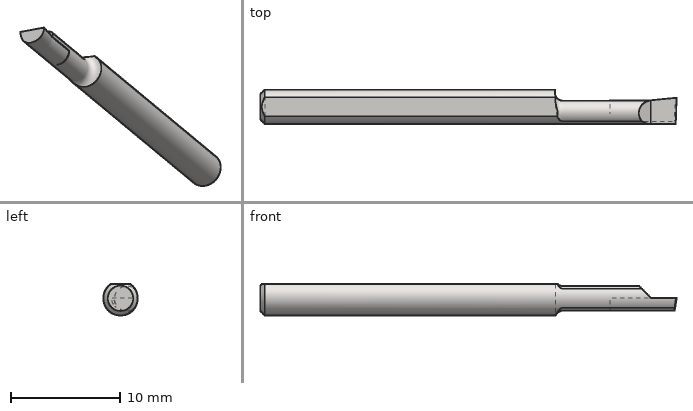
import cadquery as cq
import math

total_length = 38.1
shank_diameter = 3.15
shank_height = 2.9
back_chamfer = 0.42
shoulder_x = 26.97
shoulder_fillet = 0.7
neck_radius = 1.15
neck_offset = 0.57
rake_start_x = 35.75
rake_z = 0.05
ramp_angle = 45.0
ledge_start_x = 31.95
ledge_overhang = 0.05
tip_overhang = 0.25
end_relief_angle = 8.0
end_clearance_angle = 2.0

shank_radius = shank_diameter / 2
flat_z = shank_height - shank_radius
neck_start_x = shoulder_x + shoulder_fillet
corner_y = neck_radius - neck_offset + tip_overhang
margin = 0.75
stock_length = total_length + margin


def box_between(low, high):
    """Axis-aligned box from its low corner to its high corner."""
    size = [b - a for a, b in zip(low, high)]
    return cq.Workplane("XY").box(*size, centered=False).translate(low)


def make_envelope():
    """Round bar with a chamfered back end and a flat along its top."""
    bar = cq.Workplane("YZ").circle(shank_radius).extrude(stock_length)
    bar = bar.faces("<X").chamfer(back_chamfer)
    above_flat = box_between(
        (-margin, -shank_diameter, flat_z),
        (stock_length + margin, shank_diameter, shank_diameter),
    )
    return bar.cut(above_flat)


def make_neck_envelope():
    """Revolved neck, flaring through the shoulder fillet to clear the shank."""
    outer_radius = shank_diameter
    fillet_top = neck_radius + shoulder_fillet
    arc_inset = shoulder_fillet * (1 - math.sqrt(0.5))
    profile = (
        cq.Workplane("XY")
        .moveTo(-margin, 0)
        .lineTo(-margin, outer_radius)
        .lineTo(shoulder_x, outer_radius)
        .lineTo(shoulder_x, fillet_top)
        .threePointArc(
            (shoulder_x + arc_inset, neck_radius + arc_inset),
            (neck_start_x, neck_radius),
        )
        .lineTo(stock_length, neck_radius)
        .lineTo(stock_length, 0)
        .close()
    )
    neck = profile.revolve(360, (0, 0, 0), (1, 0, 0))
    return neck.translate((0, -neck_offset, 0))


def make_tooth():
    """Lower +Y side of the tip: a narrow ledge, then a flare to the cutting corner."""
    ledge_radius = neck_radius + ledge_overhang
    ledge = (
        cq.Workplane("YZ", origin=(ledge_start_x, -neck_offset, 0))
        .ellipse(ledge_radius, neck_radius)
        .extrude(rake_start_x - ledge_start_x)
    )
    flare = (
        cq.Workplane("YZ", origin=(rake_start_x, -neck_offset, 0))
        .ellipse(ledge_radius, neck_radius)
        .workplane(offset=total_length - rake_start_x)
        .ellipse(neck_radius + tip_overhang, neck_radius)
        .loft()
    )
    lower_positive_side = box_between(
        (ledge_start_x, -neck_offset, -shank_diameter),
        (stock_length, shank_diameter, rake_z),
    )
    return ledge.union(flare).intersect(lower_positive_side)


def make_rake_cutter():
    """Space above the cutting face and its ramp."""
    cutter_height = shank_diameter
    ramp_run = cutter_height / math.tan(math.radians(ramp_angle))
    return (
        cq.Workplane("XZ")
        .moveTo(rake_start_x, rake_z)
        .lineTo(stock_length + margin, rake_z)
        .lineTo(stock_length + margin, rake_z + cutter_height)
        .lineTo(rake_start_x - ramp_run, rake_z + cutter_height)
        .close()
        .extrude(shank_diameter, both=True)
    )


def make_end_cutter():
    """Space beyond the relieved end face, pivoting on the cutting corner."""
    normal = (
        1,
        -math.tan(math.radians(end_clearance_angle)),
        -math.tan(math.radians(end_relief_angle)),
    )
    end_plane = cq.Plane(origin=(total_length, corner_y, rake_z), normal=normal)
    side = 4 * shank_diameter
    return cq.Workplane(end_plane).rect(side, side).extrude(2 * margin)


body = make_neck_envelope().union(make_tooth())
body = body.intersect(make_envelope())
result = body.cut(make_rake_cutter()).cut(make_end_cutter())